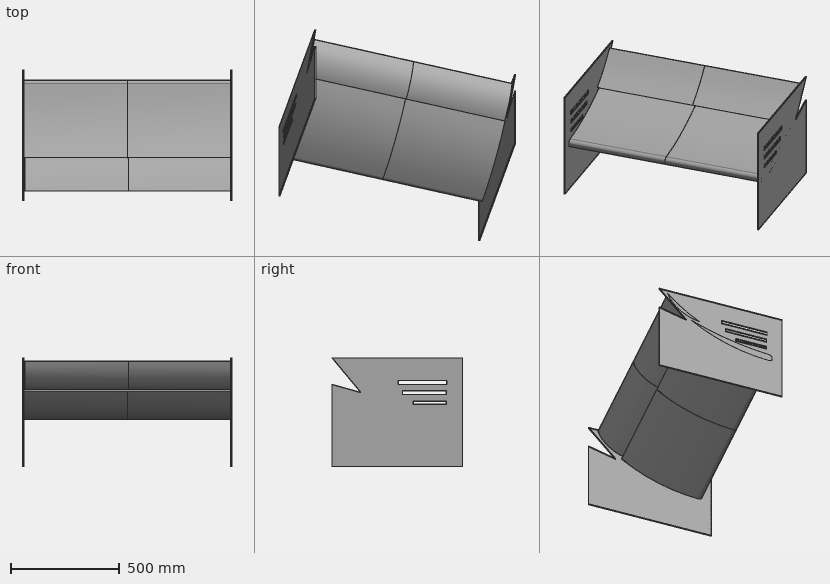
import cadquery as cq

overall_length = 960.0
side_depth = 600.0
side_height = 500.0
side_thickness = 5.0
inner_face_x = overall_length / 2 - side_thickness
front_y = -side_depth / 2

notch_tip_y = -168.0
notch_tip_z = 341.0
notch_bottom_z = 378.0

side_slots = [
    (227.0, 222.0, 377.5, 17.0),
    (224.5, 200.0, 331.5, 16.0),
    (224.5, 150.0, 287.0, 13.0),
]

rear_tip_y = -140.0
rear_tip_z = 348.5
nose_y = 253.0
nose_bottom_z = 216.0
nose_top_z = 254.0
nose_radius = 17.0
rear_upper_sag = 18.0
rear_lower_sag = 33.0

front_panel_offset_x = 5.0
front_low_tip_y = -103.0
front_low_tip_z = 354.0
front_high_tip_y = -257.0
front_high_tip_z = 484.5
front_inner_sag = 8.0
front_outer_sag = 29.0


def side_plate(start_x):
    """Flat side plate with a notched front edge and three slots."""
    outline = [
        (front_y, 0),
        (-front_y, 0),
        (-front_y, side_height),
        (front_y, side_height),
        (notch_tip_y, notch_tip_z),
        (front_y, notch_bottom_z),
    ]
    plate = cq.Workplane("YZ", origin=(start_x, 0, 0)).polyline(outline).close().extrude(side_thickness)
    for rear_y, length, bottom_z, height in side_slots:
        slot = cq.Workplane("XY").box(side_thickness, length, height, centered=False)
        plate = plate.cut(slot.translate((start_x, rear_y - length, bottom_z)))
    return plate


def rear_panel(start_x, end_x):
    """Wide panel: pointed at the front, round-nosed at the rear."""
    return (
        cq.Workplane("YZ", origin=(start_x, 0, 0))
        .moveTo(rear_tip_y, rear_tip_z)
        .sagittaArc((nose_y, nose_bottom_z), -rear_lower_sag)
        .lineTo(nose_y, nose_top_z)
        .sagittaArc((rear_tip_y, rear_tip_z), rear_upper_sag)
        .close()
        .extrude(end_x - start_x)
        .edges("|X and >Y")
        .fillet(nose_radius)
    )


def front_panel(start_x, end_x):
    """Narrow panel: crescent section, pointed at both ends."""
    return (
        cq.Workplane("YZ", origin=(start_x, 0, 0))
        .moveTo(front_low_tip_y, front_low_tip_z)
        .sagittaArc((front_high_tip_y, front_high_tip_z), front_outer_sag)
        .sagittaArc((front_low_tip_y, front_low_tip_z), -front_inner_sag)
        .close()
        .extrude(end_x - start_x)
    )


side_plates = [side_plate(start_x) for start_x in (-overall_length / 2, inner_face_x)]

rear_panel_ends = [-inner_face_x, 0, inner_face_x]
rear_panels = [rear_panel(a, b) for a, b in zip(rear_panel_ends, rear_panel_ends[1:])]

front_panel_ends = [front_panel_offset_x - inner_face_x, front_panel_offset_x, inner_face_x]
front_panels = [front_panel(a, b) for a, b in zip(front_panel_ends, front_panel_ends[1:])]

bodies = side_plates + rear_panels + front_panels
result = cq.Compound.makeCompound([body.val() for body in bodies])